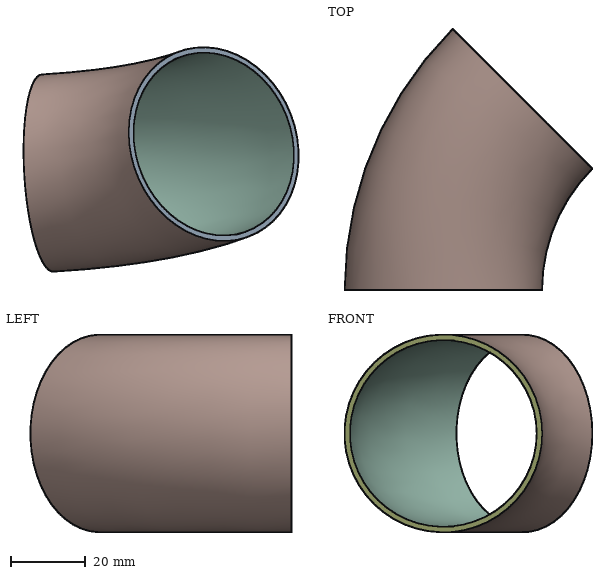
import cadquery as cq

outer_diameter = 53.0
wall_thickness = 1.5
bend_radius = 72.5
bend_angle = 45.0

outer_radius = outer_diameter / 2
inner_radius = outer_radius - wall_thickness


def make_elbow():
    """Revolve the ring-shaped pipe section about the vertical bend axis."""
    section = cq.Workplane("XZ").circle(outer_radius).circle(inner_radius)
    axis_start = (bend_radius, 0)
    axis_end = (bend_radius, -outer_radius)
    return section.revolve(bend_angle, axis_start, axis_end)


result = make_elbow()